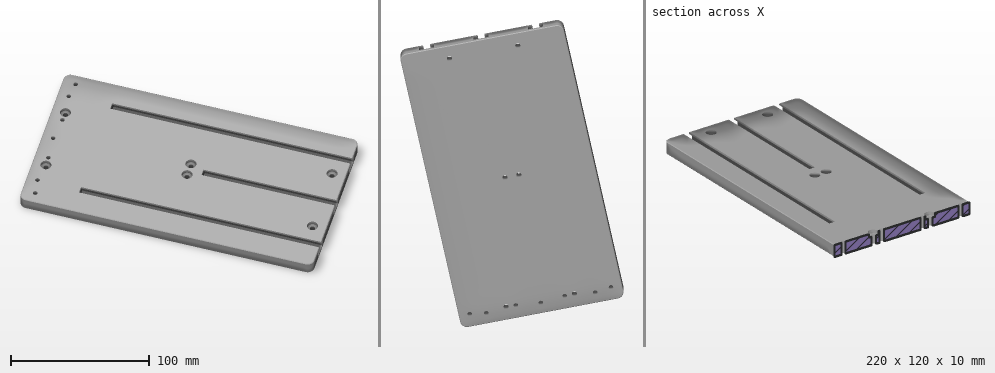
import cadquery as cq

length = 220.0
width = 120.0
thickness = 10.0
corner_radius = 5.0
edge_chamfer = 0.5

screw_diameter = 3.7
head_diameter = 8.0
head_depth = 2.9
mount_x = 99.9
mount_y = 25.0
center_pair_y = 5.0

hole_diameter = 3.3
row_x = -101.9
side_x = -100.0
side_inner_y = 18.0
side_outer_y = 52.0

slot_pitch = 40.0
slot_width = 5.0
slot_depth = 7.5
undercut_width = 11.0
lip_thickness = 1.5
outer_slot_start = -70.0
center_slot_start = 10.1


def make_plate():
    """Rounded rectangular plate, resting on Z = 0, with both faces chamfered."""
    plate = cq.Workplane("XY").box(length, width, thickness, centered=(True, True, False))
    plate = plate.edges("|Z").fillet(corner_radius)
    return plate.faces("<Z or >Z").edges().chamfer(edge_chamfer)


def make_t_slot(start_x, center_y):
    """Cutter for a slot with a wider undercut along its floor."""
    run = length / 2 - start_x
    floor_z = thickness - slot_depth
    mid_x = start_x + run / 2
    neck = cq.Workplane("XY", origin=(mid_x, center_y, floor_z)).box(
        run, slot_width, slot_depth, centered=(True, True, False)
    )
    undercut = cq.Workplane("XY", origin=(mid_x, center_y, floor_z)).box(
        run, undercut_width, slot_depth - lip_thickness, centered=(True, True, False)
    )
    return neck.union(undercut)


def drill(body, points, diameter):
    """Drill plain holes through the plate."""
    holes = cq.Workplane("XY").pushPoints(points).circle(diameter / 2).extrude(thickness)
    return body.cut(holes)


def counterbore(body, points):
    """Drill screw holes with flat-bottomed head recesses in the top face."""
    body = drill(body, points, screw_diameter)
    head_floor = cq.Workplane("XY", origin=(0, 0, thickness - head_depth))
    return body.cut(head_floor.pushPoints(points).circle(head_diameter / 2).extrude(head_depth))


corner_mounts = [(x, y) for x in (-mount_x, mount_x) for y in (-mount_y, mount_y)]
center_mounts = [(0, -center_pair_y), (0, center_pair_y)]
row_holes = [(row_x, row * slot_pitch) for row in (-1, 0, 1)]
side_holes = [(side_x, side * y) for side in (-1, 1) for y in (side_inner_y, side_outer_y)]

result = make_plate()
result = counterbore(result, corner_mounts + center_mounts)
result = drill(result, row_holes, hole_diameter)
result = drill(result, side_holes, hole_diameter)

for row, start_x in ((-1, outer_slot_start), (0, center_slot_start), (1, outer_slot_start)):
    result = result.cut(make_t_slot(start_x, row * slot_pitch))